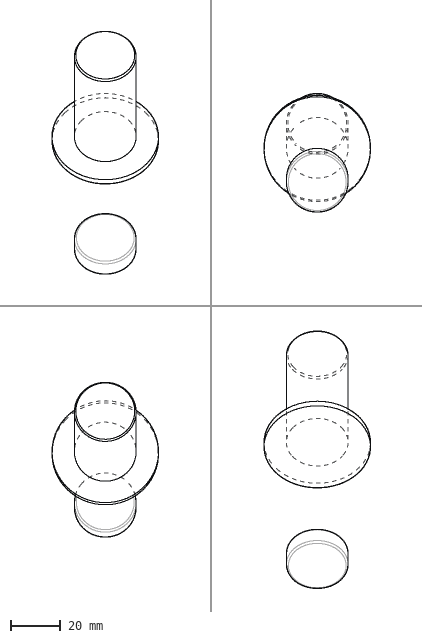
import cadquery as cq

TOTAL_HEIGHT = 134.0
SHANK_DIAMETER = 24.9

PIN_LENGTH = 59.0
FLANGE_DIAMETER = 43.0
FLANGE_THICKNESS = 3.0
PIN_CHAMFER_HEIGHT = 1.0
PIN_CHAMFER_INSET = 0.58

DISC_THICKNESS = 8.5
DISC_FILLET = 0.8


def make_flanged_pin():
    """Shank with a steep top chamfer, rising from a thin round flange."""
    shank_radius = SHANK_DIAMETER / 2
    flange_radius = FLANGE_DIAMETER / 2
    half_profile = (
        cq.Workplane("XZ")
        .moveTo(0, 0)
        .lineTo(flange_radius, 0)
        .lineTo(flange_radius, FLANGE_THICKNESS)
        .lineTo(shank_radius, FLANGE_THICKNESS)
        .lineTo(shank_radius, PIN_LENGTH - PIN_CHAMFER_HEIGHT)
        .lineTo(shank_radius - PIN_CHAMFER_INSET, PIN_LENGTH)
        .lineTo(0, PIN_LENGTH)
        .close()
    )
    pin = half_profile.revolve(360, (0, 0, 0), (0, 1, 0))
    return pin.translate((0, 0, TOTAL_HEIGHT - PIN_LENGTH))


def make_disc():
    """Short disc below the pin, rounded on both rims."""
    return (
        cq.Workplane("XY")
        .circle(SHANK_DIAMETER / 2)
        .extrude(DISC_THICKNESS)
        .faces("<Z or >Z")
        .fillet(DISC_FILLET)
    )


flanged_pin = make_flanged_pin()
disc = make_disc()

result = cq.Compound.makeCompound([flanged_pin.val(), disc.val()])